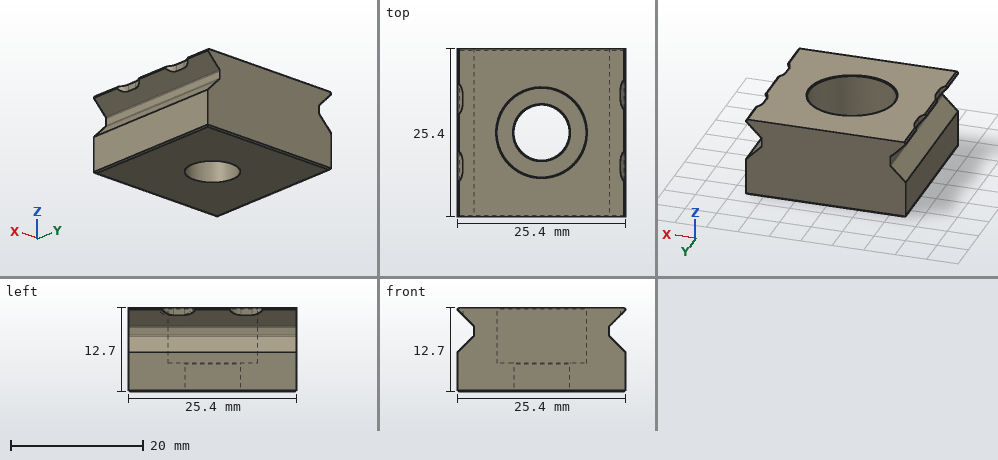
import cadquery as cq

side = 25.4
height = 12.7
bottom_chamfer = 0.25

groove_depth = 2.5
groove_corner_radius = 0.25
lip_chamfer = 0.25
groove_roof_start = 0.35
groove_floor_height = 1.38

hole_diameter = 8.4
counterbore_diameter = 13.5
counterbore_depth = 8.3
hole_chamfer = 0.15

notch_depth = 0.78
notch_flat_length = 1.65
notch_end_radius = 2.2
left_notch_positions = (5.08, -5.08)
right_notch_positions = (5.72, -5.08)

half_side = side / 2
groove_floor_top = height - groove_roof_start - groove_depth
groove_floor_bottom = groove_floor_top - groove_floor_height


def make_block():
    """Block with chamfered bottom edges and chamfered lips along both X sides."""
    block = cq.Workplane("XY").box(side, side, height, centered=(True, True, False))
    block = block.faces("<Z").edges().chamfer(bottom_chamfer)
    return block.faces(">Z").edges("|Y").chamfer(lip_chamfer)


def make_groove(direction):
    """45 degree trapezoidal groove in the +X (direction 1) or -X (direction -1) side."""
    outer = direction * half_side
    inner = direction * (half_side - groove_depth)
    groove = (
        cq.Workplane("XZ")
        .moveTo(outer, height - groove_roof_start)
        .lineTo(inner, groove_floor_top)
        .lineTo(inner, groove_floor_bottom)
        .lineTo(outer, groove_floor_bottom - groove_depth)
        .close()
        .extrude(half_side, both=True)
    )
    floor_face = ">X" if direction < 0 else "<X"
    return groove.faces(floor_face).edges("|Y").fillet(groove_corner_radius)


def make_hole():
    """Counterbored through hole with a chamfer at each upper rim."""
    hole_radius = hole_diameter / 2
    bore_radius = counterbore_diameter / 2
    seat = height - counterbore_depth
    return (
        cq.Workplane("XZ")
        .lineTo(hole_radius, 0)
        .lineTo(hole_radius, seat - hole_chamfer)
        .lineTo(hole_radius + hole_chamfer, seat)
        .lineTo(bore_radius, seat)
        .lineTo(bore_radius, height - hole_chamfer)
        .lineTo(bore_radius + hole_chamfer, height)
        .lineTo(0, height)
        .close()
        .revolve(360, (0, 0, 0), (0, 1, 0))
    )


def make_notch(direction, y):
    """Vertical lip notch: a round-ended slot whose inner edge lies notch_depth inside the side."""
    slot_width = 2 * notch_end_radius
    slot_center = half_side - notch_depth + notch_end_radius
    return (
        cq.Workplane("XY", origin=(direction * slot_center, y, groove_floor_top))
        .slot2D(notch_flat_length + slot_width, slot_width, 90)
        .extrude(height - groove_floor_top)
    )


result = make_block().cut(make_hole())
for direction, notch_positions in ((-1, left_notch_positions), (1, right_notch_positions)):
    result = result.cut(make_groove(direction))
    for notch_y in notch_positions:
        result = result.cut(make_notch(direction, notch_y))